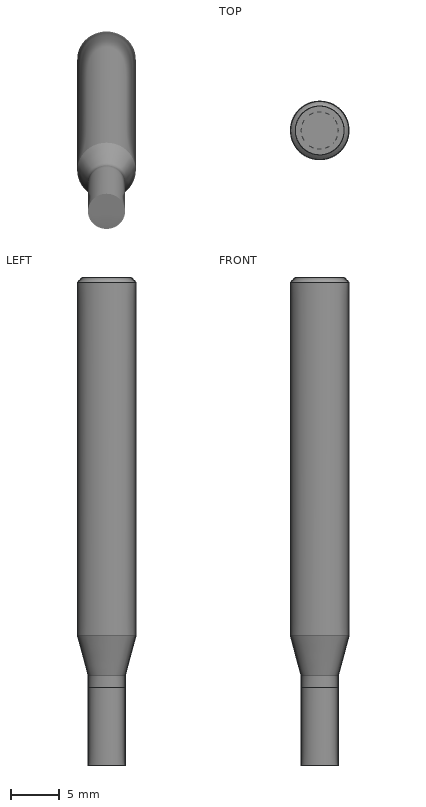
import cadquery as cq

overall_length = 50.0
shank_diameter = 6.0
shank_chamfer = 0.5
cutter_diameter = 3.8
cutter_length = 8.0
neck_end = 9.2
taper_end = 13.3

shank_radius = shank_diameter / 2
cutter_radius = cutter_diameter / 2


def make_cutter():
    """Plain cylindrical envelope of the cutting head."""
    return cq.Workplane("XY").circle(cutter_radius).extrude(cutter_length)


def make_shank():
    """Neck, taper and chamfered shank turned as one solid, seated on the cutter."""
    half_profile = (
        cq.Workplane("XZ")
        .moveTo(0, cutter_length)
        .lineTo(cutter_radius, cutter_length)
        .lineTo(cutter_radius, neck_end)
        .lineTo(shank_radius, taper_end)
        .lineTo(shank_radius, overall_length - shank_chamfer)
        .lineTo(shank_radius - shank_chamfer, overall_length)
        .lineTo(0, overall_length)
        .close()
    )
    return half_profile.revolve(360, (0, 0, 0), (0, 1, 0))


cutter = make_cutter()
shank = make_shank()

result = cq.Compound.makeCompound([cutter.val(), shank.val()])